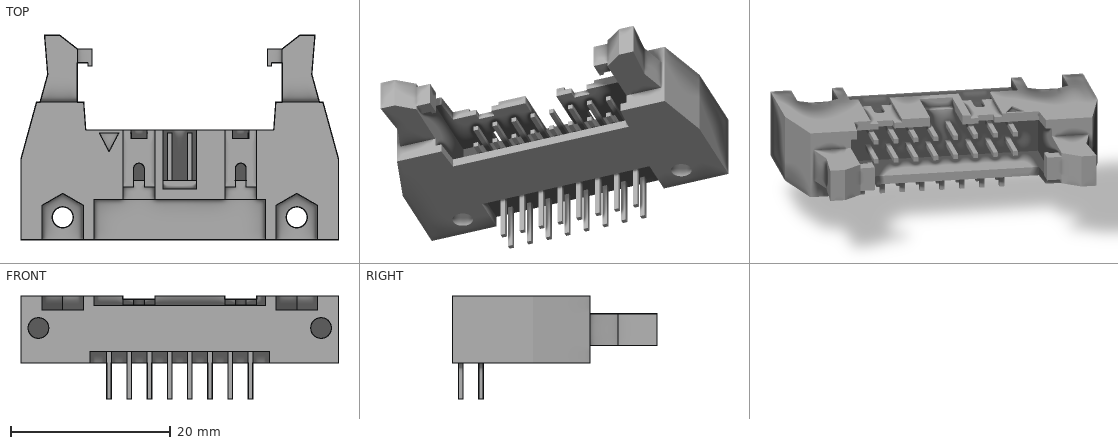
import cadquery as cq
import math


BODY_WIDTH = 39.9
BODY_HEIGHT = 8.45
REAR_CORNER_Y = 10.2
SHOULDER_Y = 17.33
SHOULDER_OUTER_X = 18.0
SHOULDER_INNER_X = 12.05
SHROUD_CORNER_X = 11.8
SHROUD_Y = 13.83

MID_Z = 4.2
CAVITY_FLOOR = 1.1
CAVITY_HEIGHT = 2 * (MID_Z - CAVITY_FLOOR)
CAVITY_TOP = MID_Z + CAVITY_HEIGHT / 2
CAVITY_BACK_Y = 7.47
CAVITY_HALF_WIDTH = 12.85

PIN_PITCH = 2.54
PIN_COLUMNS = 8
PIN_SIZE = 0.6
PIN_ROW_Y = (1.07, 1.07 + PIN_PITCH)
PIN_ROW_Z = (MID_Z - PIN_PITCH / 2, MID_Z + PIN_PITCH / 2)
CONTACT_END_Y = 13.44
PIN_TIP_Z = -4.55
PIN_EMBED = 0.5

FOOT_RECESS_WIDTH = 22.53
FOOT_RECESS_HEIGHT = 1.47

REAR_RECESS_WIDTH = 21.5
REAR_RECESS_LENGTH = 5.07
REAR_RECESS_FLOOR = 7.2

KEYWAY_WIDTH = 4.16
KEYWAY_BACK_Y = 6.4

STRIP_OFFSET_X = 6.4
STRIP_CENTERS_X = (PIN_PITCH / 2 - STRIP_OFFSET_X, PIN_PITCH / 2 + STRIP_OFFSET_X)
STRIP_WIDTH = 4.0
STRIP_FLOOR = 8.03
STRIP_STEP_Y = 6.65
STRIP_SLOT_WIDTH = 1.36
STRIP_SLOT_END_Y = 9.65
STRIP_NOTCH_WIDTH = 2.05
STRIP_NOTCH_LENGTH = 1.07

SCREW_X = 14.7
SCREW_Y = 2.85
HOLE_DIAMETER = 2.6
NUT_ACROSS_FLATS = 5.2
NUT_POCKET_DEPTH = 1.76

REAR_HOLE_X = 17.75
REAR_HOLE_Z = 4.4
REAR_HOLE_DEPTH = 5.0

MARK_CENTER_X = -8.88
MARK_WIDTH = 2.45
MARK_BASE_Y = 13.46
MARK_TIP_Y = 11.1
MARK_DEPTH = 0.3

LATCH_HEIGHT = 4.0
LATCH_END_Y = 25.75
LATCH_INNER_X = CAVITY_HALF_WIDTH
LATCH_ROOT_X = 17.55
LATCH_WAIST = (16.6, 20.8)
LATCH_TIP_OUTER_X = 17.0
LATCH_TIP_INNER_X = 15.1
HOOK_HEIGHT = 3.0
HOOK_TOP_Y = 24.0
HOOK_BOTTOM_Y = 22.25
HOOK_LIP_Y = 21.85
HOOK_END_X = 11.0
HOOK_LIP_INNER_X = 11.55


def box(x_range, y_range, z_range):
    """Axis-aligned block between the given limits."""
    size = [high - low for low, high in (x_range, y_range, z_range)]
    corner = (x_range[0], y_range[0], z_range[0])
    return cq.Workplane("XY").box(*size, centered=False).translate(corner)


def centered_box(center_x, width, y_range, z_range):
    """Block of the given width, centred on center_x."""
    return box((center_x - width / 2, center_x + width / 2), y_range, z_range)


def plate(points, bottom_z, top_z):
    """Straight-sided outline in XY, extruded between two heights."""
    return cq.Workplane("XY").workplane(offset=bottom_z).polyline(points).close().extrude(top_z - bottom_z)


def mirrored_pair(shape):
    """The shape together with its mirror image across X = 0."""
    return shape.union(shape.mirror("YZ"))


def make_housing():
    right_side = [
        (BODY_WIDTH / 2, 0),
        (BODY_WIDTH / 2, REAR_CORNER_Y),
        (SHOULDER_OUTER_X, SHOULDER_Y),
        (SHOULDER_INNER_X, SHOULDER_Y),
        (SHROUD_CORNER_X, SHROUD_Y),
    ]
    left_side = [(-x, y) for x, y in reversed(right_side)]
    return plate(right_side + left_side, 0, BODY_HEIGHT)


def make_cavity():
    return centered_box(
        0, 2 * CAVITY_HALF_WIDTH, (CAVITY_BACK_Y, SHOULDER_Y), (CAVITY_FLOOR, CAVITY_TOP)
    )


def make_outer_recesses():
    foot = centered_box(0, FOOT_RECESS_WIDTH, (0, REAR_RECESS_LENGTH), (0, FOOT_RECESS_HEIGHT))
    rear = centered_box(0, REAR_RECESS_WIDTH, (0, REAR_RECESS_LENGTH), (REAR_RECESS_FLOOR, BODY_HEIGHT))
    keyway = centered_box(0, KEYWAY_WIDTH, (KEYWAY_BACK_Y, SHROUD_Y), (CAVITY_TOP, BODY_HEIGHT))
    return foot.union(rear).union(keyway)


def make_strip_cut(center_x):
    """Material removed from the roof at one thinned strip."""
    upper = centered_box(center_x, STRIP_WIDTH, (REAR_RECESS_LENGTH, SHROUD_Y), (STRIP_FLOOR, BODY_HEIGHT))
    lower = centered_box(
        center_x, STRIP_WIDTH, (REAR_RECESS_LENGTH, STRIP_STEP_Y), (CAVITY_TOP, BODY_HEIGHT)
    )
    round_center_y = STRIP_SLOT_END_Y - STRIP_SLOT_WIDTH / 2
    slot = centered_box(
        center_x, STRIP_SLOT_WIDTH, (STRIP_STEP_Y, round_center_y), (CAVITY_TOP, BODY_HEIGHT)
    )
    slot_end = (
        cq.Workplane("XY", origin=(center_x, round_center_y, CAVITY_TOP))
        .circle(STRIP_SLOT_WIDTH / 2)
        .extrude(BODY_HEIGHT - CAVITY_TOP)
    )
    notch = centered_box(
        center_x, STRIP_NOTCH_WIDTH, (SHROUD_Y - STRIP_NOTCH_LENGTH, SHROUD_Y), (CAVITY_TOP, BODY_HEIGHT)
    )
    return upper.union(lower).union(slot).union(slot_end).union(notch)


def make_mounting_cut():
    """Screw hole and nut pocket on the +X side; the pocket is open to the rear."""
    screw_hole = (
        cq.Workplane("XY", origin=(SCREW_X, SCREW_Y, 0))
        .circle(HOLE_DIAMETER / 2)
        .extrude(BODY_HEIGHT)
    )
    across_corners = NUT_ACROSS_FLATS / math.cos(math.radians(30))
    pocket_floor = BODY_HEIGHT - NUT_POCKET_DEPTH
    nut_pocket = (
        cq.Workplane("XY", origin=(SCREW_X, SCREW_Y, pocket_floor))
        .transformed(rotate=(0, 0, 90))
        .polygon(6, across_corners)
        .extrude(NUT_POCKET_DEPTH)
    )
    nut_entry = centered_box(SCREW_X, NUT_ACROSS_FLATS, (0, SCREW_Y), (pocket_floor, BODY_HEIGHT))
    return screw_hole.union(nut_pocket).union(nut_entry)


def make_rear_hole():
    return (
        cq.Workplane("XZ", origin=(REAR_HOLE_X, 0, REAR_HOLE_Z))
        .circle(HOLE_DIAMETER / 2)
        .extrude(-REAR_HOLE_DEPTH)
    )


def make_pin_one_mark():
    triangle = [
        (MARK_CENTER_X - MARK_WIDTH / 2, MARK_BASE_Y),
        (MARK_CENTER_X + MARK_WIDTH / 2, MARK_BASE_Y),
        (MARK_CENTER_X, MARK_TIP_Y),
    ]
    return plate(triangle, BODY_HEIGHT - MARK_DEPTH, BODY_HEIGHT)


def make_latch():
    """Latch arm and hook on the +X side."""
    arm_outline = [
        (LATCH_INNER_X, SHOULDER_Y),
        (LATCH_ROOT_X, SHOULDER_Y),
        LATCH_WAIST,
        (LATCH_TIP_OUTER_X, LATCH_END_Y),
        (LATCH_TIP_INNER_X, LATCH_END_Y),
        (LATCH_INNER_X, HOOK_TOP_Y),
    ]
    hook_outline = [
        (LATCH_INNER_X, HOOK_TOP_Y),
        (HOOK_END_X, HOOK_TOP_Y),
        (HOOK_END_X, HOOK_LIP_Y),
        (HOOK_LIP_INNER_X, HOOK_LIP_Y),
        (HOOK_LIP_INNER_X, HOOK_BOTTOM_Y),
        (LATCH_INNER_X, HOOK_BOTTOM_Y),
    ]
    arm = plate(arm_outline, MID_Z - LATCH_HEIGHT / 2, MID_Z + LATCH_HEIGHT / 2)
    hook = plate(hook_outline, MID_Z - HOOK_HEIGHT / 2, MID_Z + HOOK_HEIGHT / 2)
    return arm.union(hook)


def add_contacts(part):
    """Solder pins below the housing and contact blades inside the cavity."""
    half = PIN_SIZE / 2
    for column in range(PIN_COLUMNS):
        x = (column - (PIN_COLUMNS - 1) / 2) * PIN_PITCH
        for row_y in PIN_ROW_Y:
            pin_z = (PIN_TIP_Z, FOOT_RECESS_HEIGHT + PIN_EMBED)
            part = part.union(centered_box(x, PIN_SIZE, (row_y - half, row_y + half), pin_z))
        for row_z in PIN_ROW_Z:
            blade_y = (CAVITY_BACK_Y - PIN_EMBED, CONTACT_END_Y)
            part = part.union(centered_box(x, PIN_SIZE, blade_y, (row_z - half, row_z + half)))
    return part


housing = make_housing().cut(make_cavity()).cut(make_outer_recesses())
for strip_x in STRIP_CENTERS_X:
    housing = housing.cut(make_strip_cut(strip_x))
housing = housing.cut(mirrored_pair(make_mounting_cut()))
housing = housing.cut(mirrored_pair(make_rear_hole()))
housing = housing.cut(make_pin_one_mark())
housing = housing.union(mirrored_pair(make_latch()))

result = add_contacts(housing)